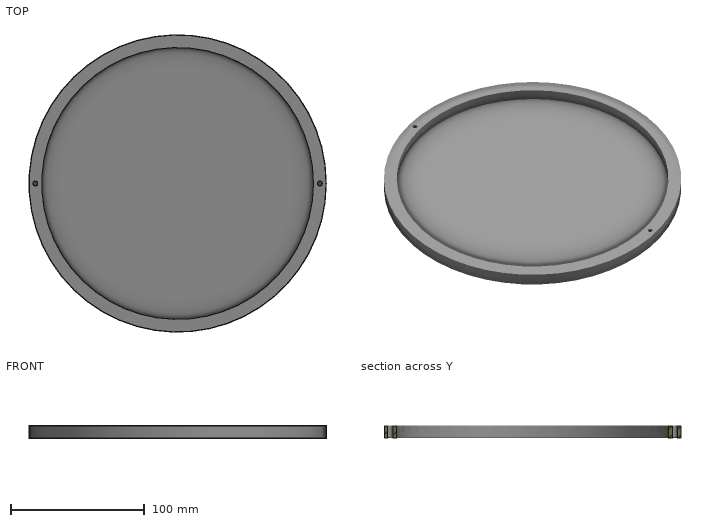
import cadquery as cq

outer_diameter = 222.2
height = 9.5

recess_diameter = 203.1
floor_thickness = 1.0
recess_depth = height - floor_thickness

hole_diameter = 3.5
hole_depth = recess_depth
hole_offset = (outer_diameter + recess_diameter) / 4

disc = cq.Workplane("XY").circle(outer_diameter / 2).extrude(height)

tray = disc.faces(">Z").workplane().circle(recess_diameter / 2).cutBlind(-recess_depth)

rim_holes = (
    cq.Workplane("XY")
    .workplane(offset=height - hole_depth)
    .pushPoints([(-hole_offset, 0), (hole_offset, 0)])
    .circle(hole_diameter / 2)
    .extrude(hole_depth)
)

result = tray.cut(rim_holes)